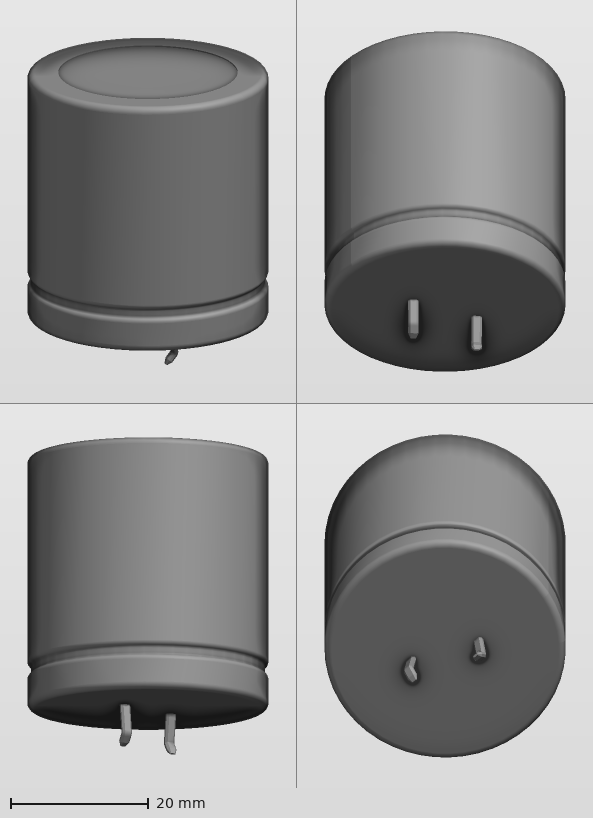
import cadquery as cq
import math


can_height = 37.1
can_diameter = 35.0
rim_radius = 1.0
sleeve_thickness = 0.195
sleeve_opening_diameter = 26.0

groove_diameter = 33.9
groove_height = 5.75
groove_floor_width = 0.75
groove_wall_height = 1.0
groove_lip_share = 0.63

stripe_half_angle = 13.2

overall_height = 43.15
pin_offset = 5.1
pin_width = 1.5
pin_thickness = 0.95
pin_chamfer = 0.3
pin_turn = 24.0
pin_lean = 8.5
pin_hook_angle = 38.0
pin_leg_drop = 4.0
pin_bend_radius = 0.6
pin_tip_taper_depth = 0.35
pin_tip_taper_length = 0.78
pin_root_depth = 1.3

can_radius = can_diameter / 2
groove_radius = groove_diameter / 2
opening_radius = sleeve_opening_diameter / 2
pin_drop = overall_height - can_height


def make_sleeve(start_angle, swept_angle):
    """Part turn of the can wall: rounded rims and an S-shaped wall on each side of the groove."""
    groove_depth = can_radius - groove_radius
    floor_half = groove_floor_width / 2
    mouth_half = floor_half + groove_wall_height
    joint_radius = can_radius - groove_lip_share * groove_depth
    joint_half = mouth_half - groove_lip_share * groove_wall_height
    wall_turn = 2 * math.atan2(groove_depth, groove_wall_height)
    arc_sum = groove_wall_height / math.sin(wall_turn)
    lip_arc = groove_lip_share * arc_sum
    root_arc = arc_sum - lip_arc
    rim_inner = can_radius - rim_radius

    return (
        cq.Workplane("XZ")
        .moveTo(opening_radius, 0)
        .lineTo(rim_inner, 0)
        .radiusArc((can_radius, rim_radius), -rim_radius)
        .lineTo(can_radius, groove_height - mouth_half)
        .radiusArc((joint_radius, groove_height - joint_half), -lip_arc)
        .radiusArc((groove_radius, groove_height - floor_half), root_arc)
        .lineTo(groove_radius, groove_height + floor_half)
        .radiusArc((joint_radius, groove_height + joint_half), root_arc)
        .radiusArc((can_radius, groove_height + mouth_half), -lip_arc)
        .lineTo(can_radius, can_height - rim_radius)
        .radiusArc((rim_inner, can_height), -rim_radius)
        .lineTo(opening_radius, can_height)
        .close()
        .revolve(swept_angle, (0, 0, 0), (0, 1, 0))
        .rotate((0, 0, 0), (0, 0, 1), start_angle)
    )


def make_pin():
    """Chamfered bar with a tapered tip that leans toward -Y on its way down, then hooks back toward +Y."""
    lean = math.radians(pin_lean)
    hook = math.radians(pin_hook_angle)
    bend_middle = (hook - lean) / 2

    root = (pin_root_depth * math.tan(lean), pin_root_depth)
    knee = (-pin_leg_drop * math.tan(lean), -pin_leg_drop)
    center = (
        knee[0] + pin_bend_radius * math.cos(lean),
        knee[1] - pin_bend_radius * math.sin(lean),
    )

    def bend_point(angle):
        """Point of the bend where the pin slopes inward by the angle (radians)."""
        return (
            center[0] - pin_bend_radius * math.cos(angle),
            center[1] - pin_bend_radius * math.sin(angle),
        )

    bend_end = bend_point(hook)
    tip_half = pin_thickness / 2 - pin_tip_taper_depth
    hook_length = (pin_drop + bend_end[1] - tip_half * math.sin(hook)) / math.cos(hook)
    tip = (
        bend_end[0] + hook_length * math.sin(hook),
        bend_end[1] - hook_length * math.cos(hook),
    )

    path = (
        cq.Workplane("YZ")
        .moveTo(*root)
        .lineTo(*knee)
        .threePointArc(bend_point(bend_middle), bend_end)
        .lineTo(*tip)
    )
    section_plane = cq.Plane(
        origin=(0, root[0], root[1]),
        xDir=(1, 0, 0),
        normal=(0, -math.sin(lean), -math.cos(lean)),
    )
    section = cq.Sketch().rect(pin_width, pin_thickness).vertices().chamfer(pin_chamfer)
    pin = cq.Workplane(section_plane).placeSketch(section).sweep(path)
    hook_direction = cq.Vector(0, math.sin(hook), -math.cos(hook))
    tip_face = cq.selectors.DirectionMinMaxSelector(hook_direction)
    return pin.faces(tip_face).chamfer(pin_tip_taper_length, pin_tip_taper_depth)


core = cq.Workplane("XY").circle(opening_radius).extrude(can_height - sleeve_thickness)
stripe_angle = 2 * stripe_half_angle
stripe = make_sleeve(-stripe_half_angle, stripe_angle)
sleeve = make_sleeve(stripe_half_angle, 360 - stripe_angle)

result = core.union(sleeve, clean=False).union(stripe, clean=False)

pin = make_pin().rotate((0, 0, 0), (0, 0, 1), -pin_turn).translate((-pin_offset, 0, 0))
for half_turn in (0, 180):
    result = result.union(pin.rotate((0, 0, 0), (0, 0, 1), half_turn), clean=False)